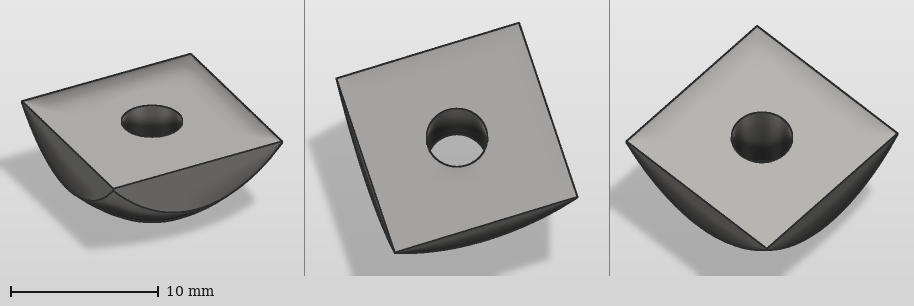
import cadquery as cq

side = 13.0
height = 5.8
hole_diameter = 4.13

base_radius = 3.67
side_height = 2.3
corner_height = 5.64
corner_radius = side / 2 * 2**0.5

dome = (
    cq.Workplane("XZ")
    .lineTo(base_radius, 0)
    .threePointArc((side / 2, side_height), (corner_radius, corner_height))
    .lineTo(corner_radius, height)
    .lineTo(0, height)
    .close()
    .revolve(360, (0, 0, 0), (0, 1, 0))
)

block = cq.Workplane("XY").rect(side, side).extrude(height)

hole = cq.Workplane("XY").circle(hole_diameter / 2).extrude(height)

result = dome.intersect(block).cut(hole)